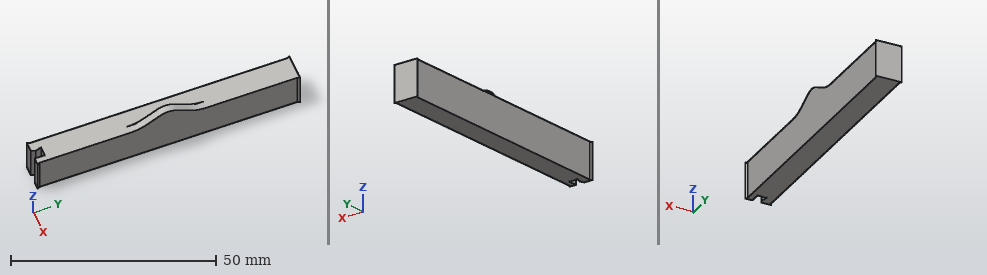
import cadquery as cq
import math

length = 69.1
bar_width = 6.4
bar_height = 10.0

lip_reach = 0.35
lip_length = 0.6

slot_depth = 2.7
slot_left = -0.9
slot_right = 1.6
ridge_height = 0.4
ridge_from_mouth = 1.1

fin_thickness = 2.0
fin_length = 20.0
fin_height = 3.5
foot_radius = 9.0
crest_radius = 4.5

half_length = length / 2
half_width = bar_width / 2


def make_bar():
    lip_width = half_width + lip_reach
    lip_start = half_length - lip_length
    outline = [
        (lip_width, -half_length),
        (half_width, -lip_start),
        (half_width, lip_start),
        (lip_width, half_length),
        (-lip_width, half_length),
        (-half_width, lip_start),
        (-half_width, -lip_start),
        (-lip_width, -half_length),
    ]
    return cq.Workplane("XY").polyline(outline).close().extrude(bar_height)


def make_slot():
    mouth = -half_length
    outline = [
        (slot_left, mouth),
        (slot_right, mouth),
        (slot_right, mouth + slot_depth),
        (slot_left, mouth + slot_depth),
        (slot_left + ridge_height, mouth + ridge_from_mouth),
    ]
    return cq.Workplane("XY").polyline(outline).close().extrude(bar_height)


def make_fin():
    half_fin = fin_length / 2
    crest_z = bar_height + fin_height

    radius_sum = foot_radius + crest_radius
    centre_rise = radius_sum - fin_height
    centre_distance = math.hypot(half_fin, centre_rise)
    slope = math.asin(radius_sum / centre_distance) - math.atan2(centre_rise, half_fin)

    def foot_point(angle):
        y = half_fin - foot_radius * math.sin(angle)
        z = bar_height + foot_radius * (1 - math.cos(angle))
        return y, z

    def crest_point(angle):
        y = crest_radius * math.sin(angle)
        z = crest_z - crest_radius * (1 - math.cos(angle))
        return y, z

    def mirrored(point):
        return -point[0], point[1]

    return (
        cq.Workplane("YZ", origin=(half_width - fin_thickness, 0, 0))
        .moveTo(half_fin, bar_height)
        .threePointArc(foot_point(slope / 2), foot_point(slope))
        .lineTo(*crest_point(slope))
        .threePointArc((0, crest_z), crest_point(-slope))
        .lineTo(*mirrored(foot_point(slope)))
        .threePointArc(mirrored(foot_point(slope / 2)), (-half_fin, bar_height))
        .close()
        .extrude(fin_thickness)
    )


result = make_bar().cut(make_slot()).union(make_fin())